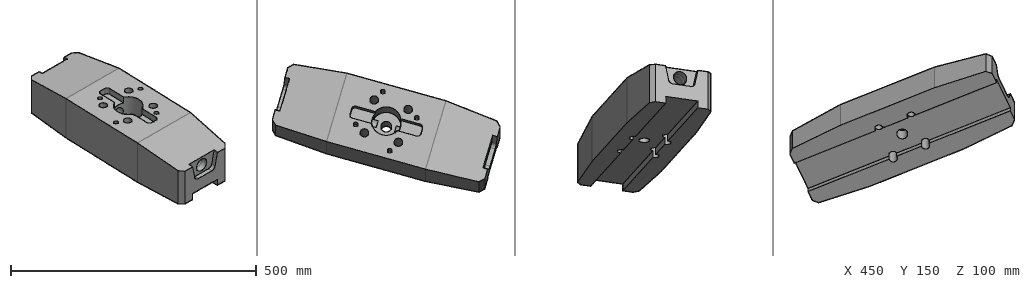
import cadquery as cq
import math

length = 450.0
width = 150.0
height = 100.0

middle_length = 209.5
end_top_drop = 16.5
end_side_inset = 9.0
corner_chamfer = 10.0

channel_width = 69.5
channel_depth = 15.0

pocket_depth = 10.0
pocket_floor_z = 45.0
pocket_floor_width = 54.0
pocket_wall_lean = 12.0
pocket_corner_radius = 10.0

cross_hole_z = 65.0
cross_hole_diameter = 24.8
cross_hole_stop = 19.5
cross_mouth_diameter = 28.5
cross_mouth_depth = 14.0
cross_cone_length = 9.0

bore_diameter = 60.0
bore_depth = 45.0
centre_hole_diameter = 22.0
slot_length = 150.0
slot_width = 26.0
slot_depth = 15.0
slot_corner_radius = 7.0

through_hole_diameter = 17.0
through_hole_circle = 101.5
through_hole_angle = 45.0
blind_hole_diameter = 9.5
blind_hole_circle = 125.0
blind_hole_angle = 22.5
blind_hole_depth = 20.0
drill_point_angle = 118.0
holes_per_circle = 4

half_length = length / 2
half_width = width / 2
half_middle = middle_length / 2


def make_body():
    """Intersect the side profile with the plan outline, which has chamfered end corners."""
    end_height = height - end_top_drop
    profile = (
        cq.Workplane("XZ")
        .moveTo(-half_length, 0)
        .lineTo(half_length, 0)
        .lineTo(half_length, end_height)
        .lineTo(half_middle, height)
        .lineTo(-half_middle, height)
        .lineTo(-half_length, end_height)
        .close()
        .extrude(half_width, both=True)
    )
    taper_run = half_length - half_middle
    chamfer_x = half_length - corner_chamfer
    chamfer_y = half_width - end_side_inset * (taper_run - corner_chamfer) / taper_run
    end_y = chamfer_y - corner_chamfer
    quarter = [(half_middle, half_width), (chamfer_x, chamfer_y), (half_length, end_y)]
    right_side = quarter + [(x, -y) for x, y in reversed(quarter)]
    left_side = [(-x, -y) for x, y in right_side]
    plan = cq.Workplane("XY").polyline(right_side + left_side).close().extrude(height)
    return profile.intersect(plan)


def make_channel():
    return cq.Workplane("XY").box(length, channel_width, channel_depth, centered=(True, True, False))


def make_end_pocket():
    """Pocket in the +X end face, open at the top and narrowing downwards."""
    rise = height - pocket_floor_z
    half_floor = pocket_floor_width / 2
    half_top = half_floor + rise * math.tan(math.radians(pocket_wall_lean))
    return (
        cq.Workplane("YZ", origin=(half_length - pocket_depth, 0, 0))
        .moveTo(-half_floor, pocket_floor_z)
        .lineTo(half_floor, pocket_floor_z)
        .lineTo(half_top, height)
        .lineTo(-half_top, height)
        .close()
        .extrude(pocket_depth)
        .edges("|X and <Z")
        .fillet(pocket_corner_radius)
    )


def make_cross_hole():
    """Hole from the +X pocket floor, narrowing through a cone and stopping short of the centre."""
    mouth_x = half_length - pocket_depth
    cone_start_x = mouth_x - cross_mouth_depth
    cone_end_x = cone_start_x - cross_cone_length
    mouth_radius = cross_mouth_diameter / 2
    hole_radius = cross_hole_diameter / 2
    return (
        cq.Workplane("XY", origin=(0, 0, cross_hole_z))
        .moveTo(cross_hole_stop, 0)
        .lineTo(cross_hole_stop, hole_radius)
        .lineTo(cone_end_x, hole_radius)
        .lineTo(cone_start_x, mouth_radius)
        .lineTo(mouth_x, mouth_radius)
        .lineTo(mouth_x, 0)
        .close()
        .revolve(360, (0, 0), (1, 0))
    )


def cylinder_from_top(diameter, depth):
    return cq.Workplane("XY", origin=(0, 0, height)).circle(diameter / 2).extrude(-depth)


def make_slot():
    return (
        cq.Workplane("XY", origin=(0, 0, height - slot_depth))
        .rect(slot_length, slot_width)
        .extrude(slot_depth)
        .edges("|Z")
        .fillet(slot_corner_radius)
    )


def make_blind_hole():
    """Drilled hole on the Z axis with a conical bottom."""
    radius = blind_hole_diameter / 2
    point_length = radius / math.tan(math.radians(drill_point_angle / 2))
    shoulder_z = height - blind_hole_depth
    return (
        cq.Workplane("XZ")
        .moveTo(0, height)
        .lineTo(radius, height)
        .lineTo(radius, shoulder_z)
        .lineTo(0, shoulder_z - point_length)
        .close()
        .revolve(360, (0, 0), (0, 1))
    )


def cut_hole_circle(body, hole, circle_diameter, first_angle):
    """Cut copies of a hole, evenly spaced round the Z axis."""
    on_circle = hole.translate((circle_diameter / 2, 0, 0))
    for index in range(holes_per_circle):
        angle = first_angle + index * 360 / holes_per_circle
        body = body.cut(on_circle.rotate((0, 0, 0), (0, 0, 1), angle))
    return body


result = make_body().cut(make_channel())

for end_feature in (make_end_pocket(), make_cross_hole()):
    result = result.cut(end_feature).cut(end_feature.mirror("YZ"))

result = result.cut(cylinder_from_top(bore_diameter, bore_depth))
result = result.cut(cylinder_from_top(centre_hole_diameter, height))
result = result.cut(make_slot())

through_hole = cylinder_from_top(through_hole_diameter, height)
result = cut_hole_circle(result, through_hole, through_hole_circle, through_hole_angle)
result = cut_hole_circle(result, make_blind_hole(), blind_hole_circle, blind_hole_angle)